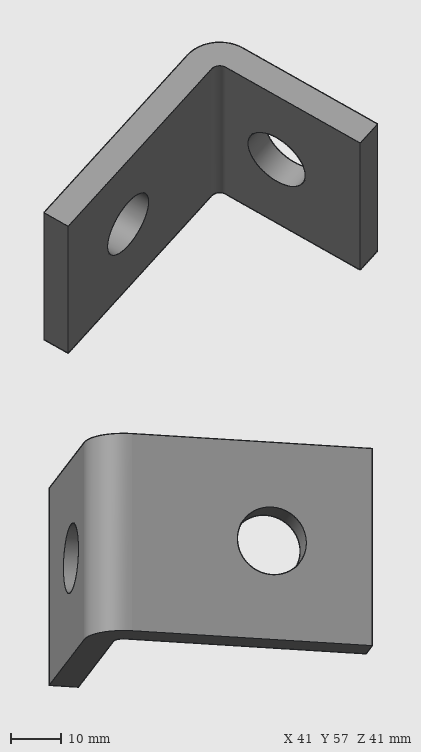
import cadquery as cq

long_leg = 57.0
width = 41.0
thickness = 6.0
inner_radius = 2.0
outer_radius = inner_radius + thickness
hole_diameter = 14.0
hole_edge_distance = width / 2


def bent_strip():
    """L-shaped strip with its outer corner at the origin and a rounded bend."""
    profile = (
        cq.Workplane("XY")
        .moveTo(0, -long_leg)
        .lineTo(0, 0)
        .lineTo(width, 0)
        .lineTo(width, -thickness)
        .lineTo(thickness, -thickness)
        .lineTo(thickness, -long_leg)
        .close()
    )
    strip = profile.extrude(width)
    strip = strip.edges(cq.NearestToPointSelector((0, 0, width / 2))).fillet(outer_radius)
    inner_corner = (thickness, -thickness, width / 2)
    return strip.edges(cq.NearestToPointSelector(inner_corner)).fillet(inner_radius)


def leg_hole(center, direction):
    """Cylinder that cuts through one leg, starting at its outer face."""
    return cq.Workplane(
        cq.Solid.makeCylinder(hole_diameter / 2, thickness, cq.Vector(*center), cq.Vector(*direction))
    )


long_leg_hole = leg_hole((0, hole_edge_distance - long_leg, width / 2), (1, 0, 0))
short_leg_hole = leg_hole((width - hole_edge_distance, 0, width / 2), (0, -1, 0))

result = bent_strip().cut(long_leg_hole).cut(short_leg_hole)